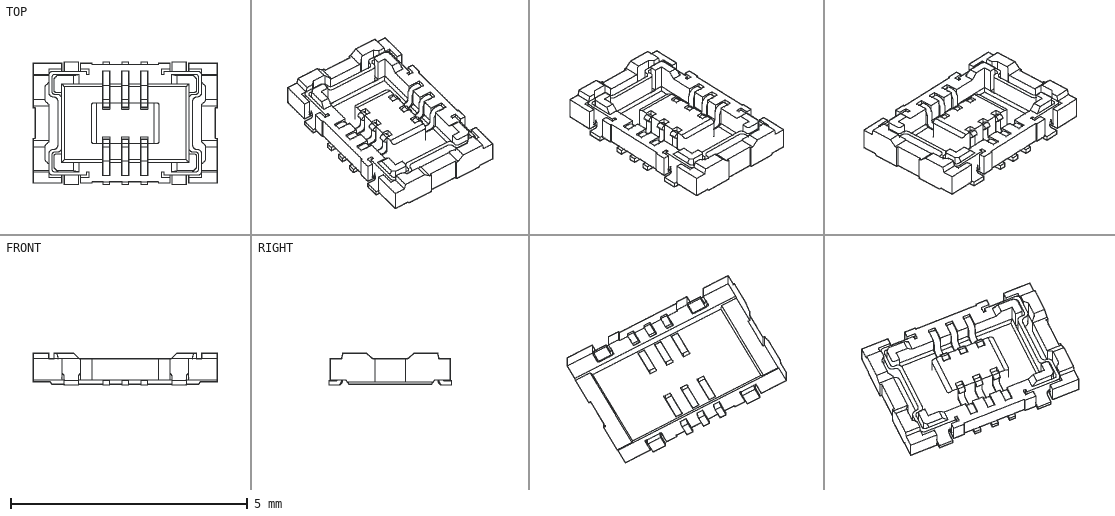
import cadquery as cq
import math


LENGTH = 3.9
FEET_SPAN = 2.6
HEIGHT = 0.68

END_WIDTH = 2.543
SIDE_RELIEF = 0.027
SIDE_RELIEF_X = 0.702
END_RELIEF = 0.043
END_RELIEF_Y = 0.325
WALL_TOP = 0.56
SKIRT_Z = 0.11
END_UNDERSIDE_Z = 0.07
BASE_Z = 0.015
KEEL_Y_TOP = 0.945
KEEL_Y_BASE = 0.87
KEEL_X_TOP = 1.59
KEEL_X_BASE = 1.552

CAVITY_X = 1.345
CAVITY_Y = 0.83
FLOOR_Z = 0.11
FLOOR_BEVEL = 0.06
ISLAND_X = 0.715
ISLAND_Y = 0.433
ISLAND_CORNER = 0.045
ISLAND_RAMP_X = 0.605
ISLAND_RAMP_DROP = 0.045
ISLAND_FOOT = 0.04

BLOCK_X = 1.62
BLOCK_Y_BASE = 1.035
BLOCK_Y_TOP = 1.005
BLOCK_RAMP_Y_TOP = 0.505
BLOCK_RAMP_Y_BASE = 0.365
POST_X = 1.51
POST_Y = 0.655
POST_FILLET = 0.04
POST_CORNER_X = 1.42
POST_CORNER_Y = 0.945
POST_END_X_TOP = 1.092
POST_END_X_BASE = 0.975

NAIL_THICKNESS = 0.065
NAIL_INNER_Y = BLOCK_Y_BASE
NAIL_OUTER_Y = NAIL_INNER_Y + NAIL_THICKNESS
NAIL_INNER_X = BLOCK_X - NAIL_THICKNESS
NAIL_END_X = 0.823
SPRING_X = 1.427
JOG_Y_OUTER = 0.612
JOG_Y_INNER = 0.558
GAP_FLOOR_Z = 0.155
GAP_Y = 1.145
GAP_END_X = 0.77
SPRING_RADIUS = 0.055
SPRING_RADIUS_WIDE = 0.095
CORNER_RADIUS_INNER = 0.062
CORNER_RADIUS_OUTER = 0.085
WING_X = 1.7
WING_Y_MIN = 0.475
WING_Y_MAX = 0.785
WING_CHAMFER = WING_X - BLOCK_X
NOTCH_X_OUTER = 1.34
NOTCH_X_INNER = 0.95
FOOT_X_OUTER = 1.295
FOOT_X_INNER = 0.985
FOOT_THICKNESS = 0.098
FOOT_BEND = 0.055
SHOULDER_Z = 0.255

PITCH = 0.4
CONTACT_WIDTH = 0.145
SLOT_WIDTH = 0.155
SLOT_Y_INNER = 0.295
SLOT_Y_OUTER = 1.105
CONTACT_TOP = 0.53
CONTACT_BASE = 0.025
CONTACT_FLAT_Z = 0.125
CLIP_Y_INNER = 0.8
CLIP_Y_PEAK = 0.955
CLIP_RADIUS = CLIP_Y_PEAK - CLIP_Y_INNER
CLIP_OUTER_RADIUS = 0.08
CLIP_FOOT_RADIUS = 0.09
ANCHOR_Y = 0.842
TAIL_Y_INNER = 1.005
TAIL_Y_BEND = 1.09
TAIL_RADIUS = 0.117
LEG_Y_OUTER = 0.435
LEG_Y_INNER = 0.365
LEG_FOOT_RADIUS = 0.08
LEG_TOP = 0.405
NOSE_Y_PEAK = 0.425
NOSE_RADIUS = 0.078
HOOK_Y = 0.335
HOOK_TOP = 0.49
HOOK_BASE = 0.42

FEET_Y = FEET_SPAN / 2
DIAGONAL = math.sqrt(0.5)


def box(x0, x1, y0, y1, z0, z1):
    return cq.Workplane("XY").box(x1 - x0, y1 - y0, z1 - z0, centered=False).translate((x0, y0, z0))


def centred_box(half_x, half_y, z0, z1):
    return box(-half_x, half_x, -half_y, half_y, z0, z1)


def prism(points, z0, z1):
    return cq.Workplane("XY").polyline(points).close().extrude(z1 - z0).translate((0, 0, z0))


def side_prism(points, x0, x1):
    """Extrude a (y, z) outline along X."""
    return cq.Workplane("YZ").polyline(points).close().extrude(x1 - x0).translate((x0, 0, 0))


def taper(half_x0, half_y0, z0, half_x1, half_y1, z1):
    lower = cq.Workplane("XY").workplane(offset=z0).rect(2 * half_x0, 2 * half_y0)
    return lower.workplane(offset=z1 - z0).rect(2 * half_x1, 2 * half_y1).loft(ruled=True)


def both_sides(quarter):
    """Add the mirror image across Y = 0."""
    return quarter.union(quarter.mirror("XZ"))


def all_corners(quarter):
    half = both_sides(quarter)
    return half.union(half.mirror("YZ"))


def rounded_prism(corners, z0, z1):
    """Extrude an outline of (x, y, radius) corners, each rounded by its own radius."""
    path = None
    for i, (x, y, radius) in enumerate(corners):
        px, py, _ = corners[i - 1]
        nx, ny, _ = corners[(i + 1) % len(corners)]
        to_prev, to_next = math.hypot(px - x, py - y), math.hypot(nx - x, ny - y)
        ax, ay = (px - x) / to_prev, (py - y) / to_prev
        bx, by = (nx - x) / to_next, (ny - y) / to_next
        start = (x + ax * radius, y + ay * radius)
        end = (x + bx * radius, y + by * radius)
        middle = (x + (ax + bx) * radius * (1 - DIAGONAL), y + (ay + by) * radius * (1 - DIAGONAL))
        path = cq.Workplane("XY").moveTo(*start) if path is None else path.lineTo(*start)
        if radius > 0:
            path = path.threePointArc(middle, end)
    return path.close().extrude(z1 - z0).translate((0, 0, z0))


def housing_shell():
    half_length, half_width = LENGTH / 2, END_WIDTH / 2
    walls = centred_box(half_length, half_width, SKIRT_Z, WALL_TOP)
    for side in (-1, 1):
        face_y = side * (half_width - SIDE_RELIEF / 2)
        relief = centred_box(SIDE_RELIEF_X, SIDE_RELIEF / 2, SKIRT_Z, WALL_TOP)
        walls = walls.cut(relief.translate((0, face_y, 0)))

    keel_outline = [
        (-KEEL_Y_TOP, SKIRT_Z),
        (KEEL_Y_TOP, SKIRT_Z),
        (KEEL_Y_BASE, BASE_Z),
        (-KEEL_Y_BASE, BASE_Z),
    ]
    keel = side_prism(keel_outline, -half_length, half_length)
    keel_ends = centred_box(half_length, half_width, END_UNDERSIDE_Z, SKIRT_Z)
    keel_middle = taper(KEEL_X_BASE, half_width, BASE_Z, KEEL_X_TOP, half_width, END_UNDERSIDE_Z)
    return walls.union(keel.intersect(keel_ends.union(keel_middle)))


def corner_block():
    outline = [
        (BLOCK_Y_BASE, WALL_TOP),
        (BLOCK_Y_TOP, HEIGHT),
        (BLOCK_RAMP_Y_TOP, HEIGHT),
        (BLOCK_RAMP_Y_BASE, WALL_TOP),
    ]
    return side_prism(outline, -LENGTH / 2, -BLOCK_X)


def corner_post():
    """L-shaped post rising from the bottom of the nail gap to the full height."""
    plan = [
        (-POST_X, POST_Y),
        (-CAVITY_X, POST_Y),
        (-CAVITY_X, CAVITY_Y),
        (-POST_END_X_BASE, CAVITY_Y),
        (-POST_END_X_BASE, BLOCK_Y_BASE),
        (-POST_CORNER_X, BLOCK_Y_BASE),
        (-POST_X, POST_CORNER_Y),
    ]
    inner_edge = cq.selectors.NearestToPointSelector((-POST_X, POST_Y, WALL_TOP))
    post = prism(plan, GAP_FLOOR_Z, HEIGHT).edges("|Z").edges(inner_edge).fillet(POST_FILLET)
    side_bevel = [
        (BLOCK_Y_BASE, WALL_TOP),
        (BLOCK_Y_BASE, HEIGHT),
        (BLOCK_Y_TOP, HEIGHT),
    ]
    end_bevel = [
        (-POST_END_X_BASE, WALL_TOP),
        (-POST_END_X_BASE, HEIGHT),
        (-POST_END_X_TOP, HEIGHT),
    ]
    end_wedge = cq.Workplane("XZ").polyline(end_bevel).close().extrude(-END_WIDTH / 2)
    return post.cut(side_prism(side_bevel, -LENGTH / 2, 0)).cut(end_wedge)


def cavity():
    bevel = taper(
        CAVITY_X - FLOOR_BEVEL, CAVITY_Y - FLOOR_BEVEL, FLOOR_Z,
        CAVITY_X, CAVITY_Y, FLOOR_Z + FLOOR_BEVEL,
    )
    return bevel.union(centred_box(CAVITY_X, CAVITY_Y, FLOOR_Z + FLOOR_BEVEL, HEIGHT))


def island():
    body = centred_box(ISLAND_X, ISLAND_Y, BASE_Z, WALL_TOP).edges("|Z").fillet(ISLAND_CORNER)
    ramp_z = WALL_TOP - ISLAND_RAMP_DROP
    roof = taper(ISLAND_X, ISLAND_Y, ramp_z, ISLAND_RAMP_X, ISLAND_Y, WALL_TOP)
    body = body.intersect(roof.union(centred_box(ISLAND_X, ISLAND_Y, BASE_Z, ramp_z)))
    foot_x, foot_y = ISLAND_X + ISLAND_FOOT, ISLAND_Y + ISLAND_FOOT
    plinth = centred_box(foot_x + ISLAND_FOOT, foot_y + ISLAND_FOOT, BASE_Z, FLOOR_Z)
    foot_zone = cq.selectors.BoxSelector(
        (-foot_x, -foot_y, FLOOR_Z - ISLAND_FOOT / 2),
        (foot_x, foot_y, FLOOR_Z + ISLAND_FOOT / 2),
    )
    return plinth.union(body).edges(foot_zone).fillet(ISLAND_FOOT)


def nail_gap():
    """Clearance for one half of a nail, with the side wall notch above its foot."""
    plan = [
        (-CAVITY_X, 0),
        (-BLOCK_X, 0),
        (-BLOCK_X, WING_Y_MIN - WING_CHAMFER),
        (-WING_X, WING_Y_MIN),
        (-WING_X, WING_Y_MAX),
        (-BLOCK_X, WING_Y_MAX + WING_CHAMFER),
        (-BLOCK_X, GAP_Y),
        (-GAP_END_X, GAP_Y),
        (-GAP_END_X, NAIL_INNER_Y),
        (-POST_CORNER_X, NAIL_INNER_Y),
        (-POST_CORNER_X, POST_Y),
        (-CAVITY_X, POST_Y),
    ]
    notch = box(-NOTCH_X_OUTER, -NOTCH_X_INNER, NAIL_INNER_Y, FEET_Y, 0, HEIGHT)
    return prism(plan, GAP_FLOOR_Z, HEIGHT).union(notch)


def nail():
    strip = rounded_prism([
        (-SPRING_X, 0, 0),
        (-SPRING_X, JOG_Y_INNER, SPRING_RADIUS_WIDE),
        (-BLOCK_X, JOG_Y_INNER, SPRING_RADIUS_WIDE),
        (-BLOCK_X, NAIL_OUTER_Y, CORNER_RADIUS_OUTER),
        (-NAIL_END_X, NAIL_OUTER_Y, 0),
        (-NAIL_END_X, NAIL_INNER_Y, 0),
        (-NAIL_INNER_X, NAIL_INNER_Y, CORNER_RADIUS_INNER),
        (-NAIL_INNER_X, JOG_Y_OUTER, SPRING_RADIUS),
        (-CAVITY_X, JOG_Y_OUTER, SPRING_RADIUS_WIDE),
        (-CAVITY_X, 0, 0),
    ], GAP_FLOOR_Z, WALL_TOP)

    bend_z = FOOT_THICKNESS + FOOT_BEND
    foot_mid_x = (FOOT_X_OUTER + FOOT_X_INNER) / 2
    foot_width = FOOT_X_OUTER - FOOT_X_INNER
    for notch_x, foot_x in ((NOTCH_X_OUTER, FOOT_X_OUTER), (NOTCH_X_INNER, FOOT_X_INNER)):
        middle_x = foot_x + (notch_x - foot_x) * (1 - DIAGONAL)
        middle_z = SHOULDER_Z - (SHOULDER_Z - bend_z) * (1 - DIAGONAL)
        corner = (
            cq.Workplane("XZ", origin=(0, NAIL_INNER_Y, 0))
            .moveTo(-notch_x, SHOULDER_Z)
            .threePointArc((-middle_x, middle_z), (-foot_x, bend_z))
            .lineTo(-foot_x, 0)
            .lineTo(-notch_x, 0)
            .close()
            .extrude(-NAIL_THICKNESS)
        )
        strip = strip.cut(corner)

    foot = (
        cq.Workplane("YZ")
        .moveTo(FEET_Y, 0)
        .lineTo(FEET_Y, FOOT_THICKNESS)
        .lineTo(NAIL_OUTER_Y + FOOT_BEND, FOOT_THICKNESS)
        .radiusArc((NAIL_OUTER_Y, bend_z), FOOT_BEND)
        .lineTo(NAIL_OUTER_Y, SHOULDER_Z)
        .lineTo(NAIL_INNER_Y, SHOULDER_Z)
        .lineTo(NAIL_INNER_Y, FOOT_THICKNESS)
        .radiusArc((NAIL_INNER_Y + FOOT_THICKNESS / 2, 0), -bend_z)
        .close()
        .extrude(foot_width / 2, both=True)
        .translate((-foot_mid_x, 0, 0))
    )
    return strip.union(foot)


def contact_slot():
    half = SLOT_WIDTH / 2
    floor_slot = box(-half, half, SLOT_Y_INNER, CAVITY_Y, 0, HEIGHT)
    wall_slot = box(-half, half, CAVITY_Y, SLOT_Y_OUTER, GAP_FLOOR_Z, HEIGHT)
    return floor_slot.union(wall_slot)


def contact():
    """Solder tail, arched clip over the side wall, flat across the floor and hook on the island."""
    profile = (
        cq.Workplane("YZ")
        .moveTo(FEET_Y, 0)
        .lineTo(FEET_Y, FOOT_THICKNESS)
        .lineTo(SLOT_Y_OUTER, FOOT_THICKNESS)
        .lineTo(SLOT_Y_OUTER, CONTACT_TOP - CLIP_OUTER_RADIUS)
        .radiusArc((SLOT_Y_OUTER - CLIP_OUTER_RADIUS, CONTACT_TOP), -CLIP_OUTER_RADIUS)
        .lineTo(CLIP_Y_PEAK, CONTACT_TOP)
        .radiusArc((CLIP_Y_INNER, CONTACT_TOP - CLIP_RADIUS), -CLIP_RADIUS)
        .lineTo(CLIP_Y_INNER, CONTACT_FLAT_Z + CLIP_FOOT_RADIUS)
        .radiusArc((CLIP_Y_INNER - CLIP_FOOT_RADIUS, CONTACT_FLAT_Z), CLIP_FOOT_RADIUS)
        .lineTo(LEG_Y_OUTER + LEG_FOOT_RADIUS, CONTACT_FLAT_Z)
        .radiusArc((LEG_Y_OUTER, CONTACT_FLAT_Z + LEG_FOOT_RADIUS), LEG_FOOT_RADIUS)
        .lineTo(LEG_Y_OUTER, LEG_TOP)
        .lineTo(NOSE_Y_PEAK + NOSE_RADIUS, CONTACT_TOP - NOSE_RADIUS)
        .radiusArc((NOSE_Y_PEAK, CONTACT_TOP), -NOSE_RADIUS)
        .lineTo(HOOK_Y, HOOK_TOP)
        .lineTo(HOOK_Y, HOOK_BASE)
        .lineTo(LEG_Y_INNER, HOOK_BASE)
        .lineTo(LEG_Y_INNER, CONTACT_BASE)
        .lineTo(ANCHOR_Y, CONTACT_BASE)
        .lineTo(ANCHOR_Y, GAP_FLOOR_Z)
        .lineTo(TAIL_Y_INNER, GAP_FLOOR_Z)
        .lineTo(TAIL_Y_INNER, SKIRT_Z)
        .radiusArc((TAIL_Y_BEND, 0), -TAIL_RADIUS)
        .close()
    )
    return profile.extrude(CONTACT_WIDTH / 2, both=True)


housing = housing_shell().union(all_corners(corner_block()))
housing = housing.cut(cavity()).union(island())
housing = housing.cut(all_corners(nail_gap())).union(all_corners(corner_post()))
end_recess = box(-LENGTH / 2, -LENGTH / 2 + END_RELIEF, -END_RELIEF_Y, END_RELIEF_Y, 0, HEIGHT)
housing = housing.cut(end_recess).cut(end_recess.mirror("YZ"))

slots = both_sides(contact_slot())
contacts = both_sides(contact())
for column in (-1, 0, 1):
    place = (column * PITCH, 0, 0)
    housing = housing.cut(slots.translate(place)).union(contacts.translate(place))

result = housing.union(all_corners(nail()))